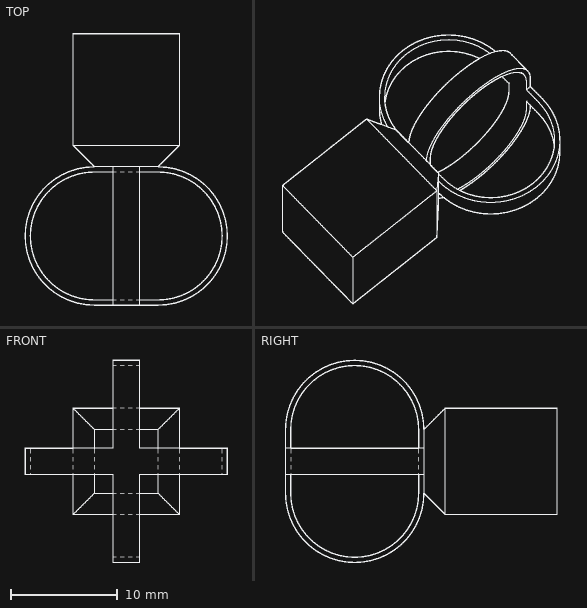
import cadquery as cq

cage_span = 19.0
cage_depth = 13.0
band_width = 2.5
band_thickness = 0.5

total_length = 25.5
head_side = 10.0
taper_length = 2.0
head_tip_side = cage_span - cage_depth
head_tip_y = cage_depth / 2
block_length = total_length - cage_depth - taper_length


def make_loop():
    """Racetrack band in the XY plane, long axis along X."""
    outer = cq.Workplane("XY").slot2D(cage_span, cage_depth).extrude(band_width / 2, both=True)
    opening = (
        cq.Workplane("XY")
        .slot2D(cage_span - 2 * band_thickness, cage_depth - 2 * band_thickness)
        .extrude(band_width / 2, both=True)
    )
    return outer.cut(opening)


def make_cage():
    """Two equal loops crossing at right angles, joined where they cross."""
    flat_loop = make_loop()
    upright_loop = make_loop().rotate((0, 0, 0), (0, 1, 0), 90)
    return flat_loop.union(upright_loop)


def make_head():
    """Square block with a tapered end that touches the cage."""
    taper = (
        cq.Workplane("XZ", origin=(0, head_tip_y, 0))
        .rect(head_tip_side, head_tip_side)
        .workplane(offset=-taper_length)
        .rect(head_side, head_side)
        .loft(ruled=True)
    )
    block = (
        cq.Workplane("XZ", origin=(0, head_tip_y + taper_length, 0))
        .rect(head_side, head_side)
        .extrude(-block_length)
    )
    return block.union(taper)


cage = make_cage()
head = make_head()

result = cq.Compound.makeCompound([cage.solids().val(), head.solids().val()])